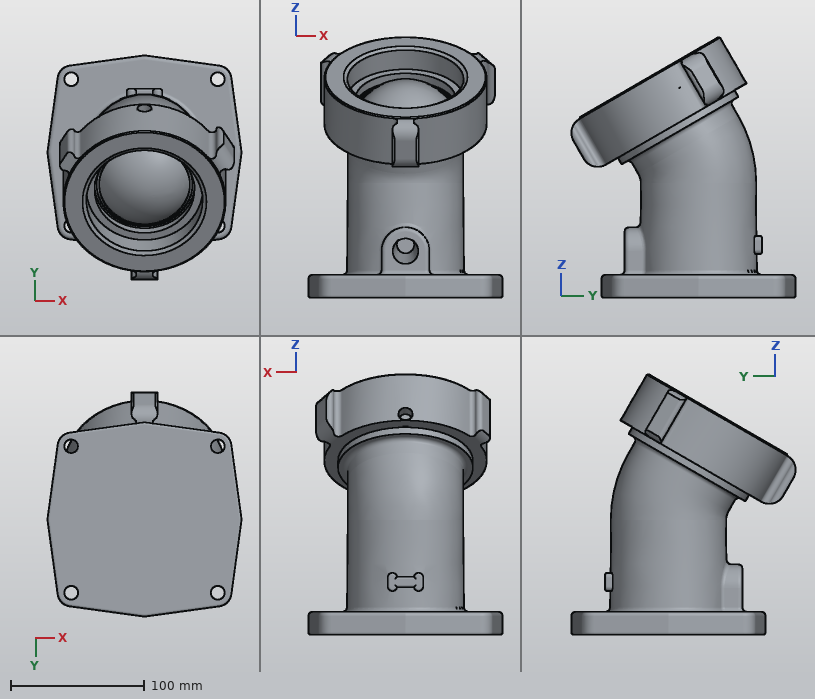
import cadquery as cq
import math

PLATE_PEAK = 73.0
PLATE_CORNER = 64.2
PLATE_HEIGHT = 17.5
PLATE_CORNER_RADIUS = 10.8
PLATE_PEAK_RADIUS = 3.3
PLATE_TOP_ROUND = 3.3
PLATE_BOTTOM_ROUND = 2.0
BOLT_OFFSET = 55.0
BOLT_DIAMETER = 10.2
ROOT_FILLET = 3.3

PIPE_BOTTOM_RADIUS = 44.0
PIPE_TOP_RADIUS = 43.5
PIPE_TOP_Z = 86.1
BEND_ANGLE = 30.0
BEND_RADIUS = 57.5

BOSS_RADIUS = 18.0
BOSS_CENTRE_Z = 35.0
BOSS_FACE_Y = -55.6
BOSS_HOLE_RADIUS = 9.5
BOSS_HOLE_END_RADIUS = 6.5
BOSS_HOLE_END_Z = 40.0
BOSS_HOLE_DEPTH = 23.5

PAD_END_SPACING = 19.5
PAD_END_WIDTH = 7.0
PAD_HEIGHT = 13.7
PAD_CENTRE_Z = 39.7
PAD_WAIST = 7.8
PAD_FACE_Y = 47.8
PAD_INNER_Y = 39.2
PAD_EDGE_ROUND = 1.8

FLANGE_RADIUS = 50.7
FLANGE_START = 12.3
RING_RADIUS = 61.0
RING_START = 18.0
RING_END = 58.7
RING_EDGE_CHAMFER = 1.0
MOUTH_RADIUS = 43.7
MOUTH_CHAMFER_WIDTH = 3.0
MOUTH_CHAMFER_DEPTH = 1.8
LEDGE_LEVEL = 40.3
SEAT_RADIUS = 37.5
SEAT_LEVEL = 33.3
GROOVE_RADIUS = 36.0
GROOVE_DEPTH = 1.4
DOME_RIM_RADIUS = 34.0
DOME_TOP = 51.0
PIN_HOLE_RADIUS = 5.3
PIN_HOLE_LEVEL = 23.7
PIN_HOLE_DEPTH = 9.8

LUG_ROOT_HALF_WIDTH = 9.5
LUG_OVERLAP = 7.8
LUG_END_ROUND = 12.1
LUGS = (
    (30, 6.3, 3.5),
    (150, 5.0, 3.0),
    (270, 6.3, 3.5),
)


def make_plate():
    peak, corner = PLATE_PEAK, PLATE_CORNER
    outline = [
        (peak, 0), (corner, corner), (0, peak), (-corner, corner),
        (-peak, 0), (-corner, -corner), (0, -peak), (corner, -corner),
    ]
    plate = cq.Workplane("XY").polyline(outline).close().extrude(PLATE_HEIGHT)
    for sx in (-1, 1):
        for sy in (-1, 1):
            near = cq.selectors.NearestToPointSelector((sx * corner, sy * corner, PLATE_HEIGHT / 2))
            plate = plate.edges(near).fillet(PLATE_CORNER_RADIUS)
    for px, py in ((peak, 0), (-peak, 0), (0, peak), (0, -peak)):
        near = cq.selectors.NearestToPointSelector((px, py, PLATE_HEIGHT / 2))
        plate = plate.edges(near).fillet(PLATE_PEAK_RADIUS)
    plate = plate.faces(">Z").edges().fillet(PLATE_TOP_ROUND)
    return plate.faces("<Z").edges().fillet(PLATE_BOTTOM_ROUND)


def make_boss():
    boss = (
        cq.Workplane("XZ")
        .moveTo(-BOSS_RADIUS, PLATE_HEIGHT / 2)
        .lineTo(-BOSS_RADIUS, BOSS_CENTRE_Z)
        .threePointArc((0, BOSS_CENTRE_Z + BOSS_RADIUS), (BOSS_RADIUS, BOSS_CENTRE_Z))
        .lineTo(BOSS_RADIUS, PLATE_HEIGHT / 2)
        .close()
        .extrude(-BOSS_FACE_Y)
    )
    return boss.faces("<Y").edges("not <Z").fillet(ROOT_FILLET)


def make_boss_hole():
    return (
        cq.Workplane("XZ", origin=(0, BOSS_FACE_Y, 0))
        .center(0, BOSS_CENTRE_Z)
        .circle(BOSS_HOLE_RADIUS)
        .workplane(offset=-BOSS_HOLE_DEPTH)
        .center(0, BOSS_HOLE_END_Z - BOSS_CENTRE_Z)
        .circle(BOSS_HOLE_END_RADIUS)
        .loft(ruled=True)
    )


def make_pad():
    start = cq.Workplane("XZ", origin=(0, PAD_FACE_Y, PAD_CENTRE_Z))
    depth = PAD_FACE_Y - PAD_INNER_Y
    ends = (
        start.pushPoints([(-PAD_END_SPACING / 2, 0), (PAD_END_SPACING / 2, 0)])
        .slot2D(PAD_HEIGHT, PAD_END_WIDTH, 90).extrude(depth)
    )
    pad = ends.union(start.rect(PAD_END_SPACING, PAD_WAIST).extrude(depth))
    return pad.faces(">Y").edges().fillet(PAD_EDGE_ROUND)


def make_body():
    pipe = cq.Workplane(
        cq.Solid.makeCone(
            PIPE_BOTTOM_RADIUS, PIPE_TOP_RADIUS, PIPE_TOP_Z - PLATE_HEIGHT, pnt=cq.Vector(0, 0, PLATE_HEIGHT)
        )
    )
    body = make_plate().union(pipe.union(make_boss()))
    boss_joint = cq.selectors.BoxSelector(
        (-BOSS_RADIUS - 2, -PIPE_BOTTOM_RADIUS, PLATE_HEIGHT + 2),
        (BOSS_RADIUS + 2, -PIPE_TOP_RADIUS * 0.9, BOSS_CENTRE_Z + BOSS_RADIUS + 2),
    )
    base_joint = cq.selectors.BoxSelector(
        (-BOLT_OFFSET, BOSS_FACE_Y - 0.2, PLATE_HEIGHT - 0.2),
        (BOLT_OFFSET, BOLT_OFFSET, PLATE_HEIGHT + 0.2),
    )
    return body.edges(boss_joint + base_joint).fillet(ROOT_FILLET)


def make_elbow():
    return (
        cq.Workplane("XY", origin=(0, 0, PIPE_TOP_Z))
        .circle(PIPE_TOP_RADIUS)
        .revolve(BEND_ANGLE, (-2, -BEND_RADIUS, 0), (2, -BEND_RADIUS, 0))
    )


def make_lug(tip_half_width, blend):
    """Lug on the +X side: mushroom section with both ends rounded off."""
    root_x = math.sqrt((RING_RADIUS + blend) ** 2 - LUG_ROOT_HALF_WIDTH ** 2)
    sideways = LUG_ROOT_HALF_WIDTH - tip_half_width
    tip_x = root_x + math.sqrt((2 * blend) ** 2 - sideways ** 2)
    outer_x = tip_x + blend
    foot_scale = RING_RADIUS / (RING_RADIUS + blend)
    foot = (root_x * foot_scale, LUG_ROOT_HALF_WIDTH * foot_scale)
    join = ((root_x + tip_x) / 2, (LUG_ROOT_HALF_WIDTH + tip_half_width) / 2)
    root_mid = (root_x, LUG_ROOT_HALF_WIDTH - blend)
    tip_mid = (tip_x + blend / 2, tip_half_width + blend * math.sqrt(0.75))
    inner_x = RING_RADIUS - LUG_OVERLAP
    half_section = (
        cq.Workplane("XY", origin=(0, 0, RING_START))
        .moveTo(inner_x, 0)
        .lineTo(inner_x, foot[1])
        .lineTo(*foot)
        .threePointArc(root_mid, join)
        .threePointArc(tip_mid, (outer_x, tip_half_width))
        .lineTo(outer_x, 0)
        .close()
        .extrude(RING_END - RING_START)
    )
    section = half_section.union(half_section.mirror("XZ"))

    top = RING_END - RING_EDGE_CHAMFER
    round_x = RING_RADIUS + LUG_END_ROUND
    side_profile = (
        cq.Workplane("XZ")
        .moveTo(inner_x, RING_START)
        .lineTo(RING_RADIUS, RING_START)
        .radiusArc((round_x, RING_START + LUG_END_ROUND), -LUG_END_ROUND)
        .lineTo(round_x, top - LUG_END_ROUND)
        .radiusArc((RING_RADIUS, top), -LUG_END_ROUND)
        .lineTo(inner_x, top)
        .close()
        .extrude(2 * LUG_ROOT_HALF_WIDTH, both=True)
    )
    return section.intersect(side_profile)


def make_dome():
    rise = DOME_TOP - SEAT_LEVEL
    sphere_radius = (DOME_RIM_RADIUS ** 2 + rise ** 2) / (2 * rise)
    sphere = cq.Workplane("XY", origin=(0, 0, DOME_TOP - sphere_radius)).sphere(sphere_radius)
    stem = (
        cq.Workplane("XY", origin=(0, 0, SEAT_LEVEL - GROOVE_DEPTH))
        .circle(DOME_RIM_RADIUS).extrude(rise + GROOVE_DEPTH)
    )
    return sphere.intersect(stem)


def make_head():
    """Coupling head with its axis along Z and the end of the bend at Z = 0."""
    neck = cq.Workplane("XY").circle(PIPE_TOP_RADIUS).extrude(RING_START)
    flange = (
        cq.Workplane("XY", origin=(0, 0, FLANGE_START))
        .circle(FLANGE_RADIUS).extrude(RING_START - FLANGE_START)
    )
    neck_joint = cq.selectors.RadiusNthSelector(0)
    head = neck.union(flange).faces("<Z[1]").edges(neck_joint).fillet(ROOT_FILLET)
    ring = (
        cq.Workplane("XY", origin=(0, 0, RING_START))
        .circle(RING_RADIUS).extrude(RING_END - RING_START)
        .faces(">Z").edges().chamfer(RING_EDGE_CHAMFER)
    )
    head = head.union(ring)
    for angle, tip_half_width, blend in LUGS:
        head = head.union(make_lug(tip_half_width, blend).rotate((0, 0, 0), (0, 0, 1), angle))
    bore = (
        cq.Workplane("XZ")
        .moveTo(0, SEAT_LEVEL - GROOVE_DEPTH)
        .lineTo(GROOVE_RADIUS, SEAT_LEVEL - GROOVE_DEPTH)
        .lineTo(GROOVE_RADIUS, SEAT_LEVEL)
        .lineTo(SEAT_RADIUS, SEAT_LEVEL)
        .lineTo(SEAT_RADIUS, LEDGE_LEVEL)
        .lineTo(MOUTH_RADIUS, LEDGE_LEVEL)
        .lineTo(MOUTH_RADIUS, RING_END - MOUTH_CHAMFER_DEPTH)
        .lineTo(MOUTH_RADIUS + MOUTH_CHAMFER_WIDTH, RING_END)
        .lineTo(0, RING_END)
        .close()
        .revolve(360, (0, 0, 0), (0, 1, 0))
    )
    pin_hole = (
        cq.Workplane("XZ", origin=(0, RING_RADIUS - PIN_HOLE_DEPTH, PIN_HOLE_LEVEL))
        .circle(PIN_HOLE_RADIUS).extrude(-2 * PIN_HOLE_DEPTH)
    )
    return head.cut(bore).cut(pin_hole).union(make_dome())


def place_on_elbow(head):
    """Carry the head round the bend, from the pipe top to the elbow's end."""
    return head.translate((0, 0, PIPE_TOP_Z)).rotate(
        (-2, -BEND_RADIUS, PIPE_TOP_Z), (2, -BEND_RADIUS, PIPE_TOP_Z), BEND_ANGLE
    )


bolt_holes = (
    cq.Workplane("XY").rect(2 * BOLT_OFFSET, 2 * BOLT_OFFSET, forConstruction=True)
    .vertices().circle(BOLT_DIAMETER / 2).extrude(PLATE_HEIGHT)
)
result = (
    make_body()
    .union(make_elbow())
    .union(place_on_elbow(make_head()))
    .union(make_pad())
    .cut(make_boss_hole())
    .cut(bolt_holes)
)